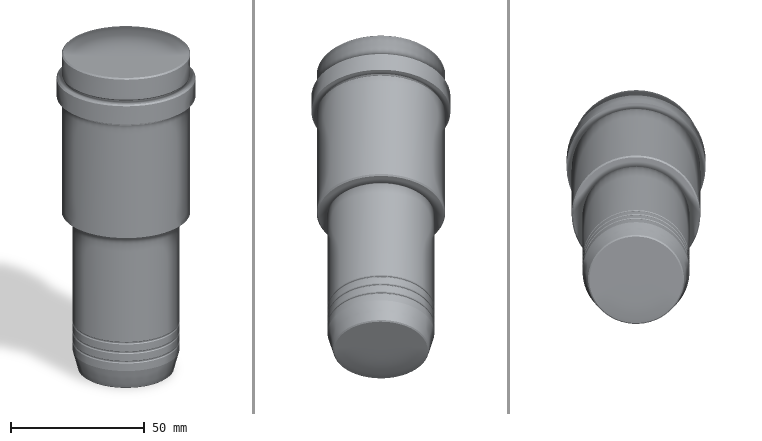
import cadquery as cq
import math

total_height = 130.0
collar_radius = 26.0
body_radius = 24.0
shank_radius = 20.0
edge_chamfer = 0.5
tip_chamfer = 0.4

taper_height = 8.0
taper_angle = 15.0
body_bottom = 64.0
collar_bottom = 112.0
collar_top = 120.0

undercut_width = 0.8
undercut_depth = 0.5
relief_radius = 19.2

groove_count = 3
groove_pitch = 3.9
first_groove_center = 11.7
groove_width = 0.5
groove_depth = 0.5


def cylinder(radius, bottom, top):
    """Solid cylinder on the Z axis between two heights."""
    return cq.Workplane("XY").workplane(offset=bottom).circle(radius).extrude(top - bottom)


def make_shank():
    """Cylindrical shank with a tapered, chamfered lower end."""
    tip_radius = shank_radius - taper_height * math.tan(math.radians(taper_angle))
    outline = [
        (0, 0),
        (tip_radius, 0),
        (shank_radius, taper_height),
        (shank_radius, body_bottom - undercut_width),
        (0, body_bottom - undercut_width),
    ]
    shank = cq.Workplane("XZ").polyline(outline).close().revolve(360, (0, 0), (0, 1))
    return shank.faces("<Z").edges().chamfer(tip_chamfer)


def cut_ring_groove(shank, center_height):
    """Cut one ring groove and break both of its outer edges."""
    bottom = center_height - groove_width / 2
    top = center_height + groove_width / 2
    outline = [
        (shank_radius - groove_depth, bottom),
        (shank_radius - groove_depth / 2, bottom),
        (shank_radius, bottom - groove_depth / 2),
        (shank_radius, top + groove_depth / 2),
        (shank_radius - groove_depth / 2, top),
        (shank_radius - groove_depth, top),
    ]
    cutter = cq.Workplane("XZ").polyline(outline).close().revolve(360, (0, 0), (0, 1))
    return shank.cut(cutter)


def make_upper_body():
    """Guide body, collar and head, separated by shallow undercuts."""
    body = cylinder(body_radius, body_bottom, collar_bottom - undercut_width).edges().chamfer(edge_chamfer)
    collar = cylinder(collar_radius, collar_bottom, collar_top).edges(">Z").chamfer(edge_chamfer)
    head = cylinder(body_radius, collar_top + undercut_width, total_height).edges().chamfer(edge_chamfer)
    undercut_core = cylinder(body_radius - undercut_depth, body_bottom, total_height)
    return undercut_core.union(body).union(collar).union(head)


shank = make_shank()
for index in range(groove_count):
    shank = cut_ring_groove(shank, first_groove_center + index * groove_pitch)

relief_neck = cylinder(relief_radius, body_bottom - undercut_width, body_bottom)
result = shank.union(relief_neck).union(make_upper_body())